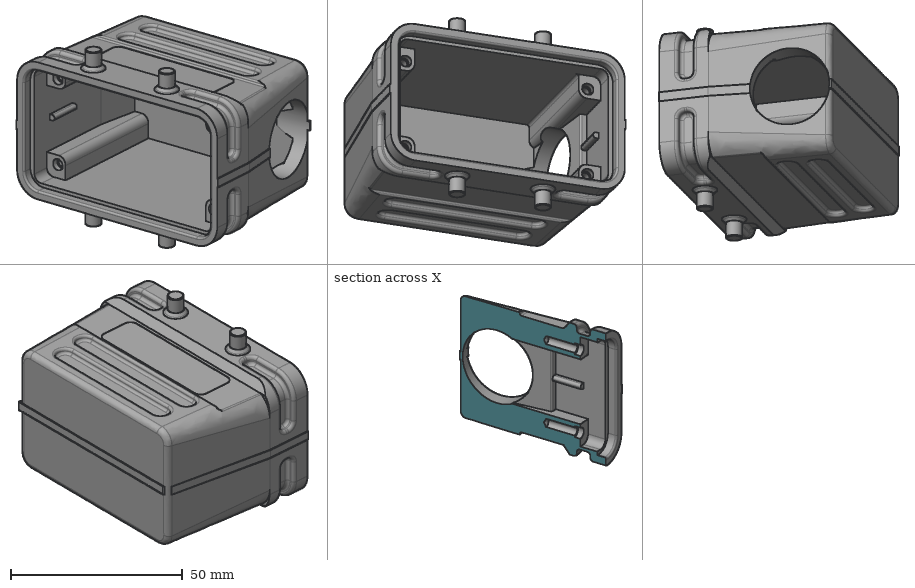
import cadquery as cq
import math


COLLAR_HALF_X = 36.5
COLLAR_HALF_Z = 21.6
COLLAR_DEPTH = 15.0
COLLAR_RADIUS = 7.6
COLLAR_BEVEL_START = 12.8

HOOD_END = 51.0
HOOD_HALF_Z = 20.05
HOOD_END_HALF_X = 31.6
HOOD_END_RADIUS = 4.3
BACK_FILLET = 1.8
FLANK_SLOPE = (COLLAR_HALF_X - HOOD_END_HALF_X) / (HOOD_END - COLLAR_DEPTH)

PANEL_HALF_Z = 19.07
PANEL_END = 29.65
STEP_ROUND = (HOOD_HALF_Z - PANEL_HALF_Z) / 2
PANEL_EDGE_ROUND = 1.0
PANEL_EDGE_X = 31.7

RIB_WIDTH = 2.8
RIB_HEIGHT = 0.3
RIB_CHAMFER = 1.8

LABEL_LENGTH = 43.8
LABEL_START = 16.1
LABEL_END = 29.0
LABEL_RADIUS = 2.4
LABEL_DEPTH = 0.1

GRIP_GROOVES = ((43.5, 23.35), (34.5, 24.7))
GRIP_HALF_WIDTH = 2.85
GRIP_DEPTH = 1.7
GRIP_FLOOR_FILLET = 0.84
GRIP_LIP_FILLET = 0.8

WRAP_CENTER_Y = 7.95
WRAP_HALF_WIDTH = 2.3
WRAP_END_RADIUS = 1.95
WRAP_DEPTH = 2.65
WRAP_END_X = 18.55
WRAP_END_Z = 5.15
WRAP_FLOOR_FILLET = 1.05
WRAP_LIP_FILLET = 1.1

PIN_X = 13.38
PIN_Y = 6.3
PIN_TIP_Z = 27.5
PIN_RADIUS = 4.8 / 2
PIN_CHAMFER = 0.25
PIN_BOSS_RADIUS = 6.5 / 2
PIN_FOOT_RADIUS = 7.3 / 2
PIN_FOOT_HEIGHT = 0.4
PIN_CONE_RADIUS = 2.5
PIN_CONE_HEIGHT = 1.25

SEAT_HALF_X = 33.85
SEAT_HALF_Z = 18.9
SEAT_RADIUS = 4.9
SEAT_DEPTH = 3.0
SEAT_LIP_ROUND = 0.62
CAVITY_HALF_X = 32.4
CAVITY_HALF_Z = 17.75
CAVITY_RADIUS = 2.4
CAVITY_END = 49.0
FLANK_WALL = 1.37

PAD_START = 20.3
PAD_HALF_X = 30.4
PAD_END_HALF_X = 27.1
PAD_ROUND = 0.6

ENTRY_RADIUS = 23.54 / 2
ENTRY_INNER_X = 22.7
ENTRY_INNER_Y = 37.47
ENTRY_LENGTH = 20.0

POST_START = 9.0
POST_INNER_X = 25.6
POST_INNER_Z = 10.5
POST_RADIUS = 2.5
POST_ROOT_FILLET = 0.8
SCREW_X = 28.4
SCREW_Z = 13.5
SCREW_RADIUS = 2.5 / 2
SCREW_DEPTH = 12.0
SCREW_TIP = 0.7
SCREW_RECESS_RADIUS = 3.5 / 2
SCREW_RECESS_DEPTH = 2.0

GUIDE_START = 10.5
GUIDE_WIDTH = 1.8
GUIDE_INNER_X = 30.7
GUIDE_ROUND = 0.88

OVERLAP = 1.0
TOLERANCE = 0.01
SEAM_MIN_LENGTH = 2 * (WRAP_HALF_WIDTH - WRAP_END_RADIUS) + TOLERANCE
SIDES = (-1, 1)


def plane_at(y):
    """Workplane parallel to XZ at the given Y, with its normal along +Y and local y along -Z."""
    return cq.Workplane(cq.Plane(origin=(0, y, 0), xDir=(1, 0, 0), normal=(0, 1, 0)))


def rounded_wire(y, half_x, half_z, radius):
    sketch = cq.Sketch().rect(2 * half_x, 2 * half_z).vertices().fillet(radius)
    return plane_at(y).placeSketch(sketch).extrude(1).faces("<Y").wires().val()


def rounded_block(y_start, y_end, half_x, half_z, radius):
    length = y_end - y_start
    return plane_at(y_start).rect(2 * half_x, 2 * half_z).extrude(length).edges("|Y").fillet(radius)


def block(x_range, y_range, z_range):
    (x0, x1), (y0, y1), (z0, z1) = x_range, y_range, z_range
    return cq.Workplane("XY").box(x1 - x0, y1 - y0, z1 - z0, centered=False).translate((x0, y0, z0))


def flank_x(y):
    """Half width of the hood flank at the given Y."""
    return COLLAR_HALF_X - FLANK_SLOPE * (y - COLLAR_DEPTH)


def prism_in_yz(points, half_x):
    return cq.Workplane("YZ").polyline(points).close().extrude(half_x, both=True)


def make_collar():
    collar = rounded_block(0, COLLAR_DEPTH, COLLAR_HALF_X, COLLAR_HALF_Z, COLLAR_RADIUS)
    for side in SIDES:
        bevel = [
            (COLLAR_BEVEL_START, side * COLLAR_HALF_Z),
            (COLLAR_DEPTH, side * PANEL_HALF_Z),
            (COLLAR_DEPTH, side * COLLAR_HALF_Z),
        ]
        collar = collar.cut(prism_in_yz(bevel, COLLAR_HALF_X))
    return collar


def cut_above_and_below(body, cutter):
    return body.cut(cutter).cut(cutter.mirror("XY"))


def panel_cutter():
    """Material above the lowered panel, up to the foot of the step."""
    return block(
        (-COLLAR_HALF_X, COLLAR_HALF_X),
        (COLLAR_DEPTH, PANEL_END),
        (PANEL_HALF_Z, HOOD_HALF_Z + OVERLAP),
    )


def step_cutter():
    """Material above the S-shaped step from the panel up to the grip face."""
    clear = HOOD_HALF_Z + OVERLAP
    middle_y = PANEL_END + STEP_ROUND
    middle_z = PANEL_HALF_Z + STEP_ROUND
    step_end = PANEL_END + 2 * STEP_ROUND
    along = STEP_ROUND * math.sin(math.radians(45))
    across = STEP_ROUND - along
    return (
        cq.Workplane("YZ")
        .moveTo(PANEL_END, PANEL_HALF_Z)
        .threePointArc((PANEL_END + along, PANEL_HALF_Z + across), (middle_y, middle_z))
        .threePointArc((middle_y + across, middle_z + along), (step_end, HOOD_HALF_Z))
        .lineTo(step_end, clear)
        .lineTo(PANEL_END, clear)
        .close()
        .extrude(COLLAR_HALF_X, both=True)
    )


def make_hood():
    front = rounded_wire(COLLAR_DEPTH, COLLAR_HALF_X, HOOD_HALF_Z, COLLAR_RADIUS)
    back = rounded_wire(HOOD_END, HOOD_END_HALF_X, HOOD_HALF_Z, HOOD_END_RADIUS)
    hood = cq.Workplane(cq.Solid.makeLoft([front, back], True))
    hood = hood.faces(">Y").edges().fillet(BACK_FILLET)
    hood = cut_above_and_below(hood, panel_cutter())
    for side_x in SIDES:
        for side_z in SIDES:
            panel_edge = cq.selectors.NearestToPointSelector(
                (side_x * PANEL_EDGE_X, (COLLAR_DEPTH + PANEL_END) / 2, side_z * PANEL_HALF_Z)
            )
            hood = hood.edges(panel_edge).fillet(PANEL_EDGE_ROUND)
    return cut_above_and_below(hood, step_cutter())


def make_rib():
    side_x = COLLAR_HALF_X + RIB_HEIGHT
    end_x = HOOD_END_HALF_X + RIB_HEIGHT
    end_y = HOOD_END + RIB_HEIGHT
    outline = [
        (-side_x, 0),
        (side_x, 0),
        (side_x, COLLAR_DEPTH),
        (end_x, end_y),
        (-end_x + RIB_CHAMFER, end_y),
        (-end_x, end_y - RIB_CHAMFER),
        (-side_x, COLLAR_DEPTH),
    ]
    return cq.Workplane("XY").polyline(outline).close().extrude(RIB_WIDTH / 2, both=True)


def cut_grip_grooves(body):
    for center_y, half_length in GRIP_GROOVES:
        groove = (
            cq.Workplane("XY", origin=(0, center_y, HOOD_HALF_Z - GRIP_DEPTH))
            .slot2D(2 * half_length, 2 * GRIP_HALF_WIDTH)
            .extrude(GRIP_DEPTH + OVERLAP)
            .faces("<Z").edges().fillet(GRIP_FLOOR_FILLET)
        )
        body = cut_above_and_below(body, groove)
    reach = GRIP_HALF_WIDTH + TOLERANCE
    for side in SIDES:
        for center_y, half_length in GRIP_GROOVES:
            lip = cq.selectors.BoxSelector(
                (-half_length - OVERLAP, center_y - reach, side * HOOD_HALF_Z - TOLERANCE),
                (half_length + OVERLAP, center_y + reach, side * HOOD_HALF_Z + TOLERANCE),
                boundingbox=True,
            )
            body = body.edges(lip).fillet(GRIP_LIP_FILLET)
    return body


def wrap_groove():
    """Groove cutter around the +X +Z corner of the collar."""
    y_start = WRAP_CENTER_Y - WRAP_HALF_WIDTH
    y_end = WRAP_CENTER_Y + WRAP_HALF_WIDTH
    outer = rounded_block(
        y_start, y_end, COLLAR_HALF_X + OVERLAP, COLLAR_HALF_Z + OVERLAP, COLLAR_RADIUS + OVERLAP
    )
    core = rounded_block(
        y_start, y_end, COLLAR_HALF_X - WRAP_DEPTH, COLLAR_HALF_Z - WRAP_DEPTH, COLLAR_RADIUS - WRAP_DEPTH
    )
    reach = 2 * COLLAR_HALF_X
    width = 2 * WRAP_HALF_WIDTH
    across_z = (
        cq.Workplane("XY", origin=(WRAP_END_X + reach / 2, WRAP_CENTER_Y, 0))
        .rect(reach, width)
        .extrude(COLLAR_HALF_Z + OVERLAP)
        .edges("|Z").fillet(WRAP_END_RADIUS)
    )
    across_x = (
        cq.Workplane("YZ", origin=(0, WRAP_CENTER_Y, WRAP_END_Z + reach / 2))
        .rect(width, reach)
        .extrude(COLLAR_HALF_X + OVERLAP)
        .edges("|X").fillet(WRAP_END_RADIUS)
    )
    groove = outer.cut(core).intersect(across_z).intersect(across_x)
    floor = outline_edges(groove, COLLAR_HALF_X - WRAP_DEPTH, COLLAR_HALF_Z - WRAP_DEPTH)
    return groove.newObject(floor).fillet(WRAP_FLOOR_FILLET)


def outline_edges(solid, half_x, half_z):
    """Groove edges lying on a rounded outline of the given half sizes, without its seams along Y."""
    radius = COLLAR_RADIUS - COLLAR_HALF_X + half_x
    found = []
    for edge in solid.edges().vals():
        box = edge.BoundingBox()
        within_groove = box.ymin > WRAP_CENTER_Y - WRAP_HALF_WIDTH - TOLERANCE and (
            box.ymax < WRAP_CENTER_Y + WRAP_HALF_WIDTH + TOLERANCE
        )
        is_seam = edge.geomType() == "LINE" and box.ylen > SEAM_MIN_LENGTH
        middle = edge.positionAt(0.5)
        corner_x = max(abs(middle.x) - half_x + radius, 0)
        corner_z = max(abs(middle.z) - half_z + radius, 0)
        on_outline = abs(math.hypot(corner_x, corner_z) - radius) < TOLERANCE
        if within_groove and on_outline and not is_seam:
            found.append(edge)
    return found


def cut_wrap_grooves(body):
    groove = wrap_groove()
    for cutter in (groove, groove.mirror("YZ")):
        body = cut_above_and_below(body, cutter)
    lips = outline_edges(body, COLLAR_HALF_X, COLLAR_HALF_Z)
    return body.newObject(lips).fillet(WRAP_LIP_FILLET)


def make_pin():
    """Upper pin at its X, Y place, revolved about its own axis from inside the collar wall."""
    root_z = COLLAR_HALF_Z - OVERLAP
    cone_z = COLLAR_HALF_Z + PIN_CONE_HEIGHT
    profile = [
        (0, root_z),
        (PIN_FOOT_RADIUS, root_z),
        (PIN_FOOT_RADIUS, COLLAR_HALF_Z),
        (PIN_BOSS_RADIUS, COLLAR_HALF_Z + PIN_FOOT_HEIGHT),
        (PIN_CONE_RADIUS, cone_z),
        (PIN_RADIUS, cone_z),
        (PIN_RADIUS, PIN_TIP_Z - PIN_CHAMFER),
        (PIN_RADIUS - PIN_CHAMFER, PIN_TIP_Z),
        (0, PIN_TIP_Z),
    ]
    pin = cq.Workplane("XZ").polyline(profile).close().revolve(360, (0, 0), (0, 1))
    return pin.translate((0, PIN_Y, 0))


def add_pins(body):
    for side in SIDES:
        pin = make_pin().translate((side * PIN_X, 0, 0))
        body = body.union(pin).union(pin.mirror("XY"))
    return body


def label_recess():
    height = LABEL_END - LABEL_START
    return (
        cq.Workplane("XY", origin=(0, LABEL_START + height / 2, PANEL_HALF_Z - LABEL_DEPTH))
        .rect(LABEL_LENGTH, height)
        .extrude(LABEL_DEPTH + OVERLAP)
        .edges("|Z").fillet(LABEL_RADIUS)
    )


def make_post(side_x, side_z, with_root_fillet):
    post = block(
        (POST_INNER_X, CAVITY_HALF_X + OVERLAP),
        (POST_START, CAVITY_END + OVERLAP / 2),
        (POST_INNER_Z, CAVITY_HALF_Z + OVERLAP),
    )
    post = post.edges("|Y and <X and <Z").fillet(POST_RADIUS)
    if with_root_fillet:
        length = CAVITY_END - POST_START
        root = block(
            (POST_INNER_X - POST_ROOT_FILLET, POST_INNER_X),
            (POST_START, CAVITY_END),
            (CAVITY_HALF_Z - POST_ROOT_FILLET, CAVITY_HALF_Z),
        )
        hollow = (
            plane_at(POST_START)
            .center(POST_INNER_X - POST_ROOT_FILLET, POST_ROOT_FILLET - CAVITY_HALF_Z)
            .circle(POST_ROOT_FILLET)
            .extrude(length)
        )
        post = post.union(root.cut(hollow))
    if side_x < 0:
        post = post.mirror("YZ")
    if side_z < 0:
        post = post.mirror("XY")
    return post


def screw_hole(side_x, side_z):
    start = POST_START
    recess_end = start + SCREW_RECESS_DEPTH
    end = start + SCREW_DEPTH
    profile = [
        (0, start),
        (SCREW_RECESS_RADIUS, start),
        (SCREW_RECESS_RADIUS, recess_end),
        (SCREW_RADIUS, recess_end),
        (SCREW_RADIUS, end),
        (0, end + SCREW_TIP),
    ]
    hole = cq.Workplane("XY").polyline(profile).close().revolve(360, (0, 0), (0, 1))
    return hole.translate((side_x * SCREW_X, 0, side_z * SCREW_Z))


def guide_rib():
    """Rib along the +X cavity wall with its free edge rounded."""
    rib = block(
        (GUIDE_INNER_X, CAVITY_HALF_X + OVERLAP),
        (GUIDE_START, PAD_START + OVERLAP),
        (-GUIDE_WIDTH / 2, GUIDE_WIDTH / 2),
    )
    return rib.edges("|Y and <X").fillet(GUIDE_ROUND)


def cavity_limits():
    """Everything between the inner flank faces, including the thickened +X wall."""
    end = CAVITY_END
    inner_end_x = flank_x(end) - FLANK_WALL
    bend_y = end - (CAVITY_HALF_X - inner_end_x) / FLANK_SLOPE
    outline = [
        (-CAVITY_HALF_X, SEAT_DEPTH),
        (CAVITY_HALF_X, SEAT_DEPTH),
        (CAVITY_HALF_X, PAD_START),
        (PAD_HALF_X, PAD_START),
        (PAD_END_HALF_X, end),
        (-inner_end_x, end),
        (-CAVITY_HALF_X, bend_y),
    ]
    limits = cq.Workplane("XY").polyline(outline).close().extrude(CAVITY_HALF_Z, both=True)
    pad_edge = cq.selectors.NearestToPointSelector((PAD_HALF_X, PAD_START, 0))
    return limits.edges(pad_edge).fillet(PAD_ROUND)


def make_cavity():
    space = rounded_block(SEAT_DEPTH, CAVITY_END, CAVITY_HALF_X, CAVITY_HALF_Z, CAVITY_RADIUS)
    space = space.intersect(cavity_limits())
    for side_x in SIDES:
        for side_z in SIDES:
            space = space.cut(make_post(side_x, side_z, side_x > 0 and side_z > 0))
    space = space.cut(guide_rib()).cut(guide_rib().mirror("YZ"))
    seat = rounded_block(0, SEAT_DEPTH, SEAT_HALF_X, SEAT_HALF_Z, SEAT_RADIUS)
    return space.union(seat)


def round_opening(body):
    """Round the edge where the seat meets the mating face."""
    margin = SEAT_LIP_ROUND / 2
    opening = cq.selectors.BoxSelector(
        (-SEAT_HALF_X - margin, -margin, -SEAT_HALF_Z - margin),
        (SEAT_HALF_X + margin, margin, SEAT_HALF_Z + margin),
        boundingbox=True,
    )
    return body.edges(opening).fillet(SEAT_LIP_ROUND)


def cable_entry():
    angle = math.atan(FLANK_SLOPE)
    outward = cq.Vector(math.cos(angle), math.sin(angle), 0)
    start = cq.Vector(ENTRY_INNER_X, ENTRY_INNER_Y, 0)
    return cq.Workplane(cq.Solid.makeCylinder(ENTRY_RADIUS, ENTRY_LENGTH, start, outward))


hood = cut_grip_grooves(make_hood())
collar = cut_wrap_grooves(make_collar())
body = hood.union(collar)
body = body.union(make_rib())
body = add_pins(body)
body = body.cut(label_recess())
body = round_opening(body.cut(make_cavity()))
body = body.cut(cable_entry())
for x_side in SIDES:
    for z_side in SIDES:
        body = body.cut(screw_hole(x_side, z_side))
result = body